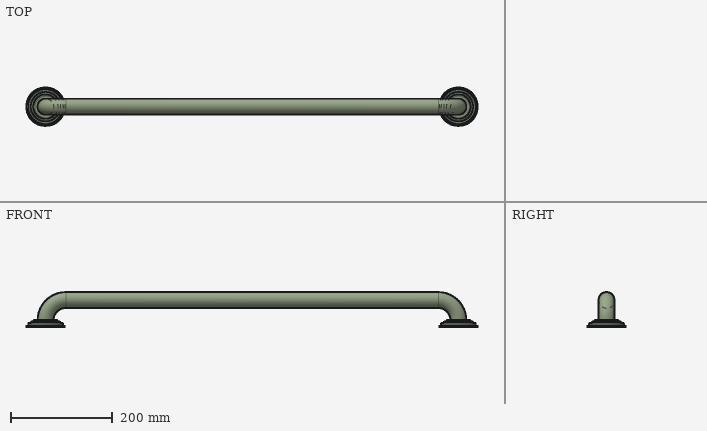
import cadquery as cq

overall_length = 889.0
overall_height = 69.85
flange_diameter = 76.2
tube_diameter = 31.75
bend_radius = 40.0

rim_height = 3.175
step_radii = (34.5, 29.0, 24.0)
step_heights = (5.7, 3.0, 2.8)
step_rounding = 2.5

tube_radius = tube_diameter / 2
flange_radius = flange_diameter / 2
post_x = overall_length / 2 - flange_radius
tube_axis_z = overall_height - tube_radius
bend_start_z = tube_axis_z - bend_radius
bend_end_x = post_x - bend_radius


def make_bar():
    """Round bar: post, bend, straight grip, bend and post, swept as one body."""
    path = (
        cq.Workplane("XZ")
        .moveTo(-post_x, 0)
        .lineTo(-post_x, bend_start_z)
        .radiusArc((-bend_end_x, tube_axis_z), bend_radius)
        .lineTo(bend_end_x, tube_axis_z)
        .radiusArc((post_x, bend_start_z), bend_radius)
        .lineTo(post_x, 0)
    )
    return cq.Workplane("XY").center(-post_x, 0).circle(tube_radius).sweep(path)


def make_flange():
    """Round stepped flange on the Z axis, revolved from half of its section."""
    profile = cq.Workplane("XZ").lineTo(flange_radius, 0).lineTo(flange_radius, rim_height)
    base_z = rim_height
    for radius, height in zip(step_radii, step_heights):
        top_z = base_z + height
        profile = (
            profile.lineTo(radius, base_z)
            .lineTo(radius, top_z - step_rounding)
            .radiusArc((radius - step_rounding, top_z), -step_rounding)
        )
        base_z = top_z
    return profile.lineTo(0, base_z).close().revolve(360, (0, 0), (0, 1))


flange = make_flange()
result = make_bar()
for side in (-1, 1):
    result = result.union(flange.translate((side * post_x, 0, 0)))